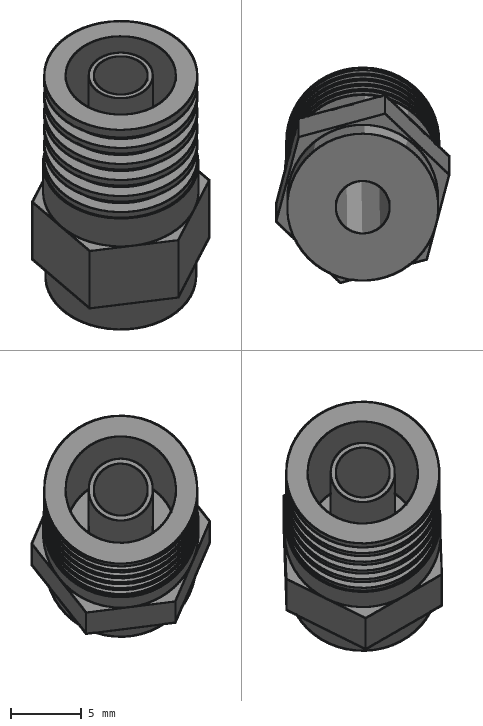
import cadquery as cq
import math

TOTAL_HEIGHT = 20.32
HEX_FLATS = 11.1
HEX_BOTTOM = 2.78
HEX_TOP = 8.6

BASE_DIAMETER = 10.77
COLLAR_DIAMETER = HEX_FLATS
COLLAR_TOP = 11.42
CORE_DIAMETER = 9.15

RIB_DIAMETER = 10.93
RIB_COUNT = 5
RIB_PITCH = 1.63
RIB_THICKNESS = 0.57
RIM_THICKNESS = 0.77

SOCKET_DIAMETER = 7.86
SOCKET_FLOOR = HEX_TOP
TUBE_DIAMETER = 4.57
BORE_DIAMETER = 3.85


def cylinder(diameter, bottom, top):
    """Cylinder on the Z axis between two heights."""
    return cq.Workplane("XY").workplane(offset=bottom).circle(diameter / 2).extrude(top - bottom)


def hex_nut():
    """Hexagon with corners on the X axis and flats facing Y."""
    corner_diameter = HEX_FLATS / math.cos(math.pi / 6)
    return (
        cq.Workplane("XY")
        .workplane(offset=HEX_BOTTOM)
        .polygon(6, corner_diameter)
        .extrude(HEX_TOP - HEX_BOTTOM)
    )


def ribbed_sleeve():
    """Thin sleeve with evenly spaced ribs and an end rim."""
    sleeve = cylinder(CORE_DIAMETER, COLLAR_TOP, TOTAL_HEIGHT)
    for index in range(RIB_COUNT):
        bottom = COLLAR_TOP + index * RIB_PITCH
        sleeve = sleeve.union(cylinder(RIB_DIAMETER, bottom, bottom + RIB_THICKNESS))
    return sleeve.union(cylinder(RIB_DIAMETER, TOTAL_HEIGHT - RIM_THICKNESS, TOTAL_HEIGHT))


def annular_socket():
    """Ring-shaped cavity that leaves the central tube standing."""
    return cylinder(SOCKET_DIAMETER, SOCKET_FLOOR, TOTAL_HEIGHT).cut(
        cylinder(TUBE_DIAMETER, SOCKET_FLOOR, TOTAL_HEIGHT)
    )


body = cylinder(BASE_DIAMETER, 0, HEX_BOTTOM)
body = body.union(hex_nut())
body = body.union(cylinder(COLLAR_DIAMETER, HEX_TOP, COLLAR_TOP))
body = body.union(ribbed_sleeve())

result = body.cut(annular_socket()).cut(cylinder(BORE_DIAMETER, 0, TOTAL_HEIGHT))